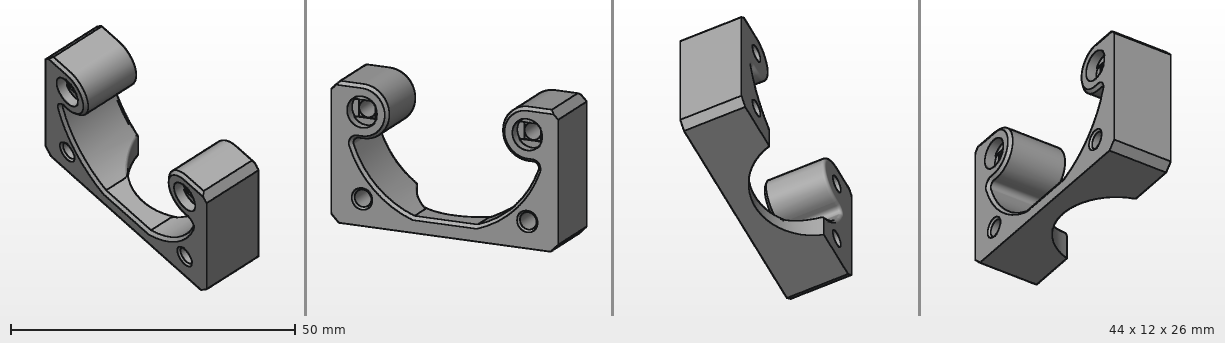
import cadquery as cq
import math

length = 44.0
depth = 12.0
height = 26.0
corner_cut = 1.5
edge_break = 0.6

screw_x = 16.0
post_radius = 5.0
upper_screw_z = height - post_radius
lower_screw_z = 5.0
screw_diameter = 3.2
screw_chamfer = 0.4
head_diameter = 5.8
head_depth = 1.9
bridge_step = 0.2

opening_radius = 19.0
floor_z = 3.0
throat_fillet = 1.0

relief_radius = 11.3
relief_reach = 8.15

half_length = length / 2
hook_underside_z = upper_screw_z - post_radius
post_tip_x = screw_x - post_radius


def opening_point(z):
    """Half-width of the big opening arc at height z."""
    return math.sqrt(opening_radius**2 - (upper_screw_z - z) ** 2)


def make_body():
    """Plate with the hooked round opening and its filleted throats."""
    throat_x = opening_point(hook_underside_z)
    body = (
        cq.Workplane("XZ")
        .moveTo(-half_length, 0)
        .lineTo(half_length, 0)
        .lineTo(half_length, height)
        .lineTo(screw_x, height)
        .threePointArc((post_tip_x, upper_screw_z), (screw_x, hook_underside_z))
        .lineTo(throat_x, hook_underside_z)
        .threePointArc((0, upper_screw_z - opening_radius), (-throat_x, hook_underside_z))
        .lineTo(-screw_x, hook_underside_z)
        .threePointArc((-post_tip_x, upper_screw_z), (-screw_x, height))
        .lineTo(-half_length, height)
        .close()
        .extrude(-depth)
    )
    for x in (-throat_x, throat_x):
        corner = cq.selectors.NearestToPointSelector((x, depth / 2, hook_underside_z))
        body = body.edges("|Y").edges(corner).fillet(throat_fillet)
    return body


def bevel_front(body):
    """Chamfer the front edges of the opening and the top."""
    return body.faces("<Y").edges("not (|Z or <Z)").chamfer(edge_break)


def round_rear(body):
    """Round the rear edges of the opening and the top, and where the relief meets the opening."""
    rear = body.faces(">Y").edges("not (|Z or <Z)")
    return rear.add(body.edges("%BSPLINE")).fillet(edge_break)


def add_floor(body):
    """Flat floor bar whose front edge bevel meets the bevel of the arc."""
    bar_length = 2 * (opening_point(floor_z) + edge_break)
    bar = cq.Workplane("XY").box(bar_length, depth, floor_z, centered=(True, False, False))
    bar = bar.faces("<Y").edges(">Z").chamfer(edge_break)
    return body.union(bar)


def cut_corners(body):
    outline = cq.Workplane("XZ").rect(length, height).extrude(-depth)
    outline = outline.edges("|Y").chamfer(corner_cut)
    return body.intersect(outline.translate((0, 0, height / 2)))


def cut_relief(body):
    center_y = depth - relief_reach + relief_radius
    relief = cq.Workplane("XY").center(0, center_y).circle(relief_radius).extrude(height)
    return body.cut(relief)


def y_cylinder(diameter, x, z, length_y):
    return cq.Workplane("XZ").center(x, z).circle(diameter / 2).extrude(-length_y)


def y_box(size_x, size_z, x, z, length_y):
    return cq.Workplane("XZ").center(x, z).rect(size_x, size_z).extrude(-length_y)


def cut_upper_screw(body, x):
    """Head pocket whose floor steps from a slot to a square to the round hole."""
    head = y_cylinder(head_diameter, x, upper_screw_z, head_depth)
    slot = y_box(head_diameter, screw_diameter, x, upper_screw_z, head_depth + bridge_step)
    slot = slot.intersect(y_cylinder(head_diameter, x, upper_screw_z, depth))
    square_depth = head_depth + 2 * bridge_step
    square = y_box(screw_diameter, screw_diameter, x, upper_screw_z, square_depth)
    hole = y_cylinder(screw_diameter, x, upper_screw_z, depth)
    return body.cut(head).cut(slot).cut(square).cut(hole)


def cut_lower_screw(body, x):
    """Through hole with a chamfered front mouth."""
    hole = y_cylinder(screw_diameter, x, lower_screw_z, depth)
    mouth = cq.Solid.makeCone(
        screw_diameter / 2 + screw_chamfer,
        screw_diameter / 2,
        screw_chamfer,
        pnt=cq.Vector(x, 0, lower_screw_z),
        dir=cq.Vector(0, 1, 0),
    )
    return body.cut(hole).cut(cq.Workplane(mouth))


result = bevel_front(make_body())
result = round_rear(cut_relief(result))
result = cut_corners(cut_relief(add_floor(result)))
for side_x in (-screw_x, screw_x):
    result = cut_upper_screw(result, side_x)
    result = cut_lower_screw(result, side_x)